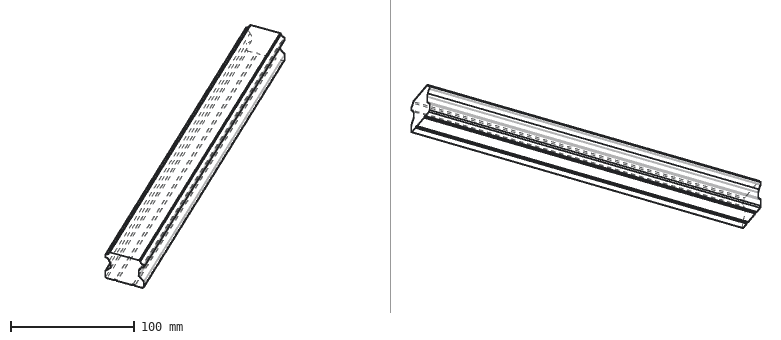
import cadquery as cq
import math

length = 300.0
width = 34.0
height = 29.0

half_width = width / 2
head_half_width = 13.8
neck_half_width = 12.3

top_chamfer = 1.0
lip_top = 25.5
lip_bottom = 22.5
raceway_height = 2.7
raceway_sag = 0.75
lower_raceway_bottom = lip_bottom - raceway_height

neck_top = 17.7
neck_bottom = 12.3
foot_shoulder = 7.5
bottom_chamfer = 1.2

lip_radius = 0.5
web_radius = 1.2

groove_offset = 7.8
groove_width = 2.0
groove_depth = 0.5


def raceway_middle(start, end):
    """Middle point of a concave arc, pulled from its chord towards the rail centre."""
    run = end[0] - start[0]
    rise = end[1] - start[1]
    chord = math.hypot(run, rise)
    middle_x = (start[0] + end[0]) / 2 - raceway_sag * abs(rise) / chord
    middle_z = (start[1] + end[1]) / 2 + raceway_sag * math.copysign(run, run * rise) / chord
    return (middle_x, middle_z)


def make_half_profile():
    """Right half of the cross-section, from the bottom up."""
    lower_start = (head_half_width, lower_raceway_bottom)
    lower_end = (half_width, lip_bottom)
    upper_start = (half_width, lip_top)
    upper_end = (head_half_width, height - top_chamfer)
    return (
        cq.Workplane("XZ", origin=(0, length / 2, 0))
        .lineTo(half_width - bottom_chamfer, 0)
        .lineTo(half_width, bottom_chamfer)
        .lineTo(half_width, foot_shoulder)
        .lineTo(neck_half_width, neck_bottom)
        .lineTo(neck_half_width, neck_top)
        .lineTo(*lower_start)
        .threePointArc(raceway_middle(lower_start, lower_end), lower_end)
        .lineTo(*upper_start)
        .threePointArc(raceway_middle(upper_start, upper_end), upper_end)
        .lineTo(head_half_width - top_chamfer, height)
        .lineTo(0, height)
        .close()
    )


def make_groove(x):
    """Cutter for one groove along the full length of the underside."""
    return (
        cq.Workplane("XY")
        .center(x, 0)
        .rect(groove_width, length)
        .extrude(groove_depth)
    )


def round_corners(body, corners, radius):
    """Round the lengthwise edges passing through the given (x, z) corners on both sides."""
    for x, z in corners:
        for side in (-1, 1):
            edge_point = (side * x, 0, z)
            body = body.edges(cq.selectors.NearestToPointSelector(edge_point)).fillet(radius)
    return body


half_rail = make_half_profile().extrude(length)
rail = half_rail.union(half_rail.mirror("YZ")).clean()

lip_corners = [(half_width, lip_top), (half_width, lip_bottom)]
neck_corners = [(neck_half_width, neck_top), (neck_half_width, neck_bottom)]
shoulder_corners = [(half_width, foot_shoulder)]
rail = round_corners(rail, lip_corners, lip_radius)
rail = round_corners(rail, neck_corners + shoulder_corners, web_radius)

for groove_x in (-groove_offset, groove_offset):
    rail = rail.cut(make_groove(groove_x))

result = rail